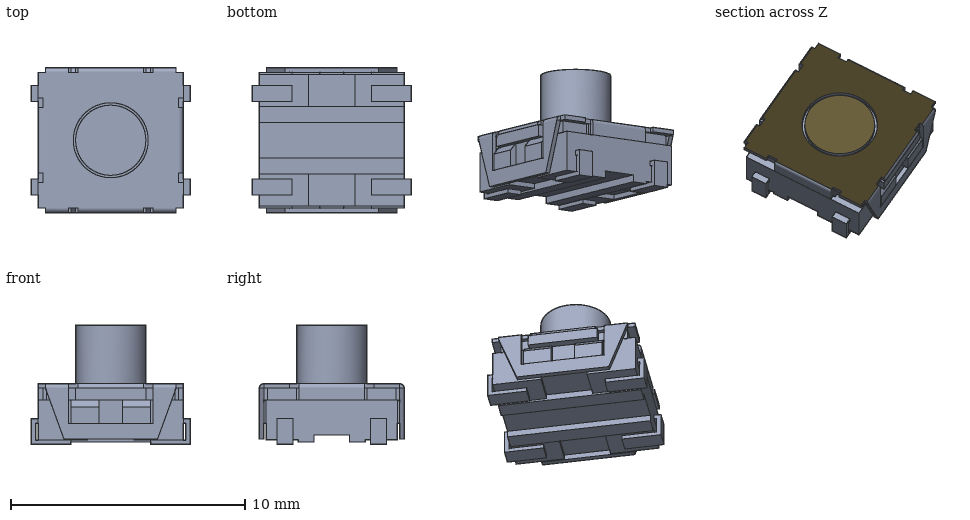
import cadquery as cq

BODY_WIDTH = 6.2
TERMINAL_SPAN = 6.8
TOTAL_HEIGHT = 5.1

BASE_BOTTOM = 0.2
BASE_TOP = 1.9
FRAME_TOP = 2.4
SHEET = 0.2
COVER_TOP = FRAME_TOP + SHEET
CLIP_BOTTOM = 0.9

PLUNGER_DIAMETER = 3.0
COVER_HOLE_DIAMETER = 3.2

BASE_DEPTH = 5.6
RAIL_BOTTOM = 0.1
RAIL_INNER = 0.75
RAIL_OUTER = 1.44
CHANNEL_TOP = 0.4
EDGE_NOTCH_WIDTH = 2.0

LATCH_INNER = 0.5
LATCH_OUTER = 1.7
LATCH_SLOPE_DROP = 0.3
LATCH_SLOPE_RUN = 0.25

TERMINAL_WIDTH = 0.7
TERMINAL_PITCH = 4.0
TERMINAL_TOP = 1.1
FOOT_THICKNESS = 0.185
FOOT_INNER = 1.7

FRAME_WIDTH = 5.5
FRAME_TAB_WIDTH = 3.0

WINDOW_WIDTH = 3.605
BEND_WIDTH = 2.8
SKIRT_TOP_WIDTH = 5.58
SKIRT_BOTTOM_WIDTH = 4.0
SKIRT_BOTTOM = 0.23

half_body = BODY_WIDTH / 2
half_base_depth = BASE_DEPTH / 2
half_plate = half_body - SHEET


def block(x_range, y_range, z_range):
    """Axis-aligned block between pairs of limits."""
    (x0, x1), (y0, y1), (z0, z1) = x_range, y_range, z_range
    return cq.Workplane("XY").box(x1 - x0, y1 - y0, z1 - z0, centered=False).translate((x0, y0, z0))


def centered_block(width, depth, z_range):
    """Block centred on the Z axis."""
    return block((-width / 2, width / 2), (-depth / 2, depth / 2), z_range)


def with_opposite(shape):
    """The shape together with its copy turned half a turn about Z."""
    return shape.union(shape.rotate((0, 0, 0), (0, 0, 1), 180))


def make_latch(x_center):
    """Latch on the -Y side of the base, sloped at its outer top edge."""
    length = LATCH_OUTER - LATCH_INNER
    return (
        cq.Workplane("YZ", origin=(x_center - length / 2, 0, 0))
        .moveTo(-half_base_depth, CLIP_BOTTOM)
        .lineTo(-half_body, CLIP_BOTTOM)
        .lineTo(-half_body, BASE_TOP - LATCH_SLOPE_DROP)
        .lineTo(-half_body + LATCH_SLOPE_RUN, BASE_TOP)
        .lineTo(-half_base_depth, BASE_TOP)
        .close()
        .extrude(length)
    )


def make_terminal(y_center):
    """C-shaped terminal hooked around the lower -X edge of the base."""
    outer = -TERMINAL_SPAN / 2
    return (
        cq.Workplane("XZ", origin=(0, y_center + TERMINAL_WIDTH / 2, 0))
        .moveTo(-FOOT_INNER, 0)
        .lineTo(outer, 0)
        .lineTo(outer, TERMINAL_TOP)
        .lineTo(-half_body, TERMINAL_TOP)
        .lineTo(-half_body, TERMINAL_TOP - SHEET)
        .lineTo(outer + SHEET, TERMINAL_TOP - SHEET)
        .lineTo(outer + SHEET, FOOT_THICKNESS)
        .lineTo(-FOOT_INNER, FOOT_THICKNESS)
        .close()
        .extrude(TERMINAL_WIDTH)
    )


def make_base():
    """Moulded base with rails below, latches on two sides and four terminals."""
    base = centered_block(BODY_WIDTH, BASE_DEPTH, (BASE_BOTTOM, BASE_TOP))
    base = base.union(centered_block(BODY_WIDTH, 2 * RAIL_OUTER, (RAIL_BOTTOM, BASE_BOTTOM)))
    base = base.cut(centered_block(BODY_WIDTH, 2 * RAIL_INNER, (RAIL_BOTTOM, CHANNEL_TOP)))

    half_notch = EDGE_NOTCH_WIDTH / 2
    notch = block((-half_notch, half_notch), (-half_base_depth, -RAIL_OUTER), (BASE_BOTTOM, CHANNEL_TOP))
    base = base.cut(with_opposite(notch))

    latch_center = (LATCH_INNER + LATCH_OUTER) / 2
    for side in (-1, 1):
        base = base.union(with_opposite(make_latch(side * latch_center)))
        base = base.union(with_opposite(make_terminal(side * TERMINAL_PITCH / 2)))
    return base


def make_frame():
    """Flat frame on the base, with a tab on each of its four sides."""
    levels = (BASE_TOP, FRAME_TOP)
    frame = centered_block(FRAME_WIDTH, FRAME_WIDTH, levels)
    frame = frame.union(centered_block(2 * half_plate, FRAME_TAB_WIDTH, levels))
    return frame.union(centered_block(FRAME_TAB_WIDTH, BODY_WIDTH, levels))


def make_bend(width, bottom):
    """Strip on the -Y side, rounded at its outer top edge and reaching down to the given level."""
    strip = block((-width / 2, width / 2), (-half_body, -half_plate), (bottom, COVER_TOP))
    rounded_corner = (
        cq.Workplane("YZ", origin=(-width / 2, 0, 0))
        .moveTo(-half_body, FRAME_TOP)
        .radiusArc((-half_plate, COVER_TOP), SHEET)
        .lineTo(-half_body, COVER_TOP)
        .close()
        .extrude(width)
    )
    return strip.cut(rounded_corner)


def make_skirt():
    """Tapered wall on the -Y side with a window for the latches and a rolled top edge."""
    wall = (
        cq.Workplane("XZ", origin=(0, -half_plate, 0))
        .moveTo(-SKIRT_TOP_WIDTH / 2, FRAME_TOP)
        .lineTo(-SKIRT_BOTTOM_WIDTH / 2, SKIRT_BOTTOM)
        .lineTo(SKIRT_BOTTOM_WIDTH / 2, SKIRT_BOTTOM)
        .lineTo(SKIRT_TOP_WIDTH / 2, FRAME_TOP)
        .close()
        .extrude(SHEET)
    )
    skirt = wall.union(make_bend(SKIRT_TOP_WIDTH, FRAME_TOP))
    half_window = WINDOW_WIDTH / 2
    window = block((-half_window, half_window), (-half_body, -half_plate), (CLIP_BOTTOM, COVER_TOP))
    return skirt.cut(window).union(make_bend(BEND_WIDTH, FRAME_TOP))


def make_cover():
    """Bent sheet cover: plate, two latched skirts, two short flaps and the plunger hole."""
    levels = (FRAME_TOP, COVER_TOP)
    plate = centered_block(BODY_WIDTH, 2 * half_plate, levels)
    half_window = WINDOW_WIDTH / 2
    side_notch = block((-half_body, -half_plate), (-half_window, half_window), levels)
    plate = plate.cut(with_opposite(side_notch))

    flap = make_bend(BEND_WIDTH, BASE_TOP).rotate((0, 0, 0), (0, 0, 1), -90)
    cover = plate.union(with_opposite(flap)).union(with_opposite(make_skirt()))

    hole = cq.Workplane("XY", origin=(0, 0, FRAME_TOP)).circle(COVER_HOLE_DIAMETER / 2).extrude(SHEET)
    return cover.cut(hole)


def make_plunger():
    """Round push button standing on the frame."""
    return (
        cq.Workplane("XY", origin=(0, 0, FRAME_TOP))
        .circle(PLUNGER_DIAMETER / 2)
        .extrude(TOTAL_HEIGHT - FRAME_TOP)
    )


base = make_base()
frame = make_frame()
cover = make_cover()
plunger = make_plunger()

result = cq.Compound.makeCompound([base.val(), frame.val(), cover.val(), plunger.val()])